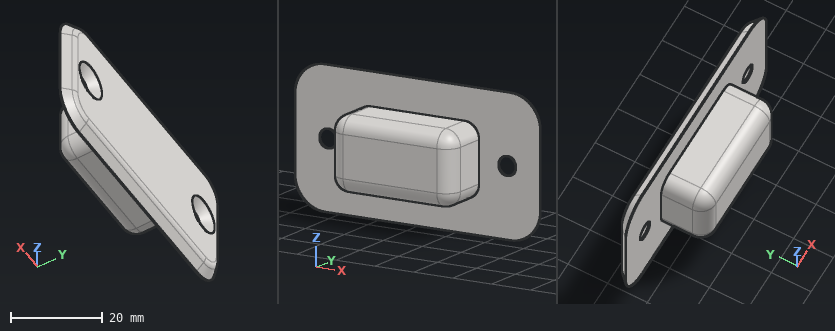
import cadquery as cq

plate_length = 63.0
plate_height = 33.5
plate_thickness = 2.65
plate_corner_radius = 7.55
rim_thickness = 0.2
back_edge_radius = 2.0

overall_depth = 14.3
block_length = 31.6
block_height = 17.65
block_depth = overall_depth - plate_thickness
block_radius = 3.8

hole_diameter = 4.5
hole_spacing = 46.0
hole_land = 0.3


def make_plate():
    """Round-cornered plate, bevelled and softened around its back face."""
    bevel = plate_thickness - rim_thickness
    return (
        cq.Workplane("XZ")
        .rect(plate_length, plate_height)
        .extrude(-plate_thickness)
        .edges("|Y")
        .fillet(plate_corner_radius)
        .faces(">Y")
        .chamfer(bevel)
        .faces(">Y")
        .edges()
        .fillet(back_edge_radius)
    )


def make_block():
    """Block with its side edges and front edges rounded alike."""
    return (
        cq.Workplane("XZ")
        .rect(block_length, block_height)
        .extrude(block_depth)
        .edges("|Y or <Y")
        .fillet(block_radius)
    )


def make_hole_cutter():
    """Through hole with a 45 degree countersink opening at the back face."""
    hole_radius = hole_diameter / 2
    sink_radius = hole_radius + plate_thickness - hole_land
    return (
        cq.Workplane("XY")
        .polyline(
            [
                (0, 0),
                (hole_radius, 0),
                (hole_radius, hole_land),
                (sink_radius, plate_thickness),
                (0, plate_thickness),
            ]
        )
        .close()
        .revolve(360, (0, 0, 0), (0, 1, 0))
    )


result = make_plate().union(make_block())
for side in (-1, 1):
    result = result.cut(make_hole_cutter().translate((side * hole_spacing / 2, 0, 0)))